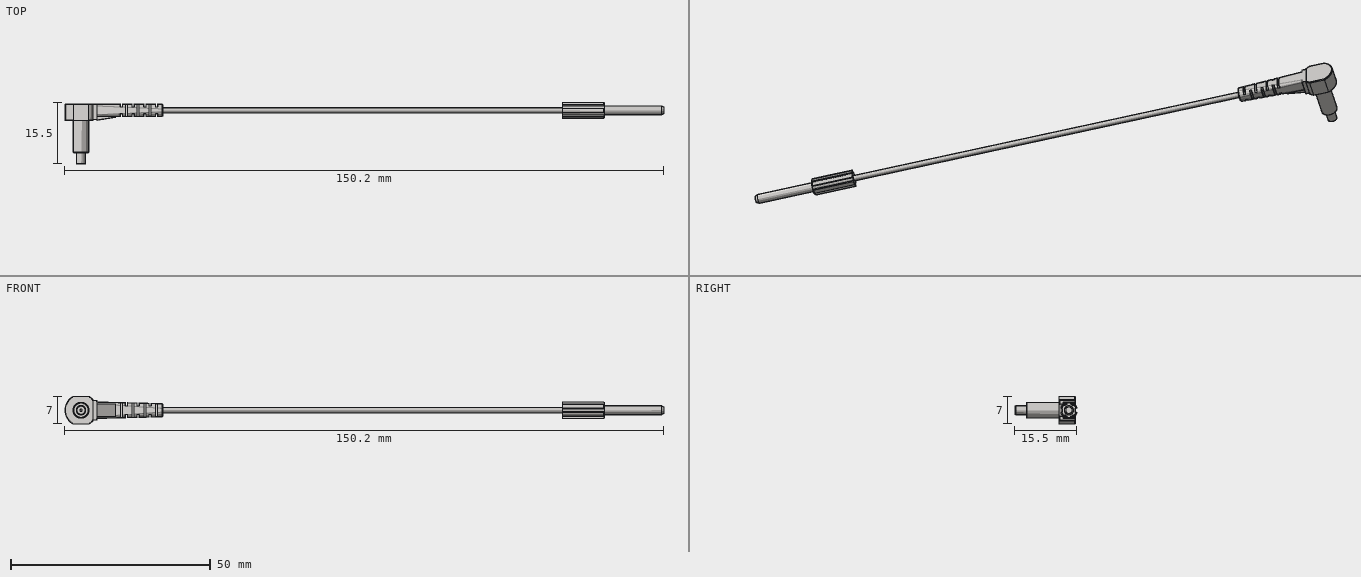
import cadquery as cq
import math


total_length = 150.2
total_depth = 15.5

head_radius = 4.0
head_height = 7.0
head_back = 1.65
head_front = -2.5
head_end = 2.95
head_edge = 0.2

collar_height = 5.0
collar_end = 3.95
collar_front = -2.3

relief_end = 20.6
relief_thickness = 3.1
relief_start_height = 4.15
relief_end_height = 3.3
relief_start_corner = 0.45
relief_end_corner = 1.2
relief_end_chamfer = 0.25

wedge_end = 8.6
wedge_end_front = -1.75
wedge_height = 3.1

slot_width = 0.5
slot_pitch = 2.95
side_slot_start = 10.1
side_slot_count = 4
side_slot_floor = 0.85
top_slot_start = 11.4
top_slot_count = 3
top_slot_floor = 1.1
slot_tool_size = 5.0

cable_diameter = 1.4

grip_start = 120.7
grip_length = 10.6
grip_end = grip_start + grip_length
grip_diameter = 4.2
grip_core_diameter = 3.3
grip_end_chamfer = 0.3
rib_count = 6
rib_width = 1.0
pin_diameter = 2.3
pin_end = total_length - head_radius
pin_chamfer_length = 0.7
pin_chamfer_depth = 0.35

rib_half_pitch = math.pi / rib_count
rib_half_angle = math.asin(rib_width / grip_diameter)
rearmost = grip_diameter / 2 * math.cos(rib_half_pitch - rib_half_angle)
barrel_diameter = 4.0
barrel_end = -10.7
barrel_chamfer = 0.2
tip_diameter = 2.35
tip_end = rearmost - total_depth
tip_chamfer = 0.15
tip_bore_diameter = 0.6
tip_bore_depth = 8.0


def cylinder_along_y(diameter, back, front):
    """Cylinder on the barrel axis, running from its back towards -Y."""
    return cq.Workplane("XZ", origin=(0, back, 0)).circle(diameter / 2).extrude(back - front)


def cylinder_along_x(diameter, start, end):
    """Cylinder on the cable axis between two X positions."""
    return cq.Workplane("YZ", origin=(start, 0, 0)).circle(diameter / 2).extrude(end - start)


def block(start, end, front, back, height):
    """Box between two X and two Y positions, centred on Z = 0."""
    box = cq.Workplane("XY").box(end - start, back - front, height, centered=(False, False, True))
    return box.translate((start, front, 0))


def make_head():
    disc = cylinder_along_y(2 * head_radius, head_back, head_front)
    head = disc.intersect(block(-head_radius, head_end, head_front, head_back, head_height))
    return head.faces(">Y").edges().chamfer(head_edge)


def make_collar():
    return block(0, collar_end, collar_front, relief_thickness / 2, collar_height)


def make_barrel():
    barrel = cylinder_along_y(barrel_diameter, head_front, barrel_end)
    barrel = barrel.faces("<Y").chamfer(barrel_chamfer)
    tip = cylinder_along_y(tip_diameter, barrel_end, tip_end)
    tip = tip.faces("<Y").chamfer(tip_chamfer)
    bore = cylinder_along_y(tip_bore_diameter, tip_end + tip_bore_depth, tip_end)
    return barrel.union(tip).cut(bore)


def relief_section(height, corner):
    return cq.Sketch().rect(relief_thickness, height).vertices().fillet(corner)


def make_relief_bar():
    thick_end = relief_section(relief_start_height, relief_start_corner)
    thin_end = relief_section(relief_end_height, relief_end_corner)
    thin_end = thin_end.moved(cq.Location(cq.Vector(0, 0, relief_end - collar_end)))
    plane = cq.Workplane("YZ", origin=(collar_end, 0, 0))
    bar = plane.placeSketch(thick_end, thin_end).loft(ruled=True)
    return bar.faces(">X").chamfer(relief_end_chamfer)


def make_wedge():
    outline = cq.Workplane("XY", origin=(0, 0, -wedge_height / 2)).polyline([
        (collar_end, 0),
        (collar_end, head_front),
        (wedge_end, wedge_end_front),
        (wedge_end, 0),
    ])
    return outline.close().extrude(wedge_height)


def make_slots():
    """Cutters for all flexing slots."""
    cutter = cq.Workplane("XY").box(slot_width, slot_tool_size, slot_tool_size)
    slots = cq.Workplane("XY")
    for side in (-1, 1):
        y = side * (side_slot_floor + slot_tool_size / 2)
        for i in range(side_slot_count):
            slots = slots.add(cutter.translate((side_slot_start + i * slot_pitch, y, 0)))
        z = side * (top_slot_floor + slot_tool_size / 2)
        for i in range(top_slot_count):
            slots = slots.add(cutter.translate((top_slot_start + i * slot_pitch, 0, z)))
    return slots.combine()


def make_plug():
    strain_relief = make_relief_bar().union(make_wedge()).cut(make_slots())
    return make_head().union(make_collar()).union(make_barrel()).union(strain_relief)


def make_cable():
    return cylinder_along_x(cable_diameter, relief_end, grip_start)


def make_grip():
    grip = cylinder_along_x(grip_core_diameter, grip_start, grip_end)
    for i in range(rib_count // 2):
        angle = i * 360 / rib_count
        plane = cq.Workplane("YZ", origin=(grip_start, 0, 0)).transformed(rotate=(0, 0, angle))
        grip = grip.union(plane.rect(rib_width, grip_diameter).extrude(grip_length))
    envelope = cylinder_along_x(grip_diameter, grip_start, grip_end)
    return grip.intersect(envelope.faces(">X").chamfer(grip_end_chamfer))


def make_pin_connector():
    pin = cylinder_along_x(pin_diameter, grip_end, pin_end)
    pin = pin.faces(">X").edges().chamfer(pin_chamfer_length, pin_chamfer_depth)
    return make_grip().union(pin)


plug = make_plug()
cable = make_cable()
pin_connector = make_pin_connector()
result = cq.Compound.makeCompound([
    plug.solids().val(),
    cable.solids().val(),
    pin_connector.solids().val(),
])